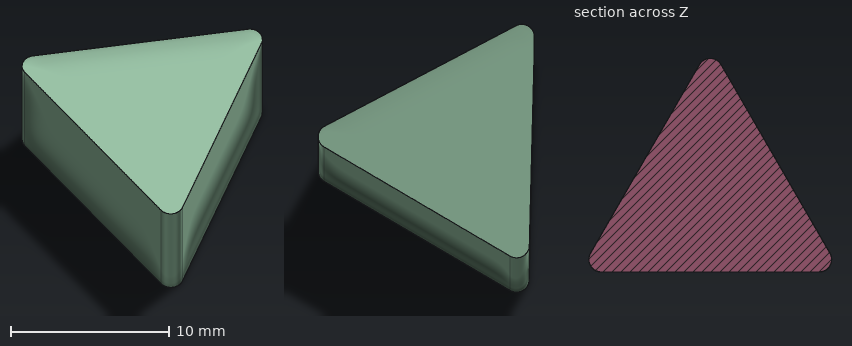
import cadquery as cq
import math

width = 15.34
height = 7.95
corner_radius = 0.8

centre_spacing = width - 2 * corner_radius
corner_setback = corner_radius * math.sqrt(3)
sharp_side = centre_spacing + 2 * corner_setback
sharp_depth = sharp_side * math.sqrt(3) / 2

base_y = -sharp_depth / 3
triangle = [
    (-sharp_side / 2, base_y),
    (sharp_side / 2, base_y),
    (0, base_y + sharp_depth),
]

result = (
    cq.Workplane("XY")
    .polyline(triangle)
    .close()
    .extrude(height)
    .edges("|Z")
    .fillet(corner_radius)
)